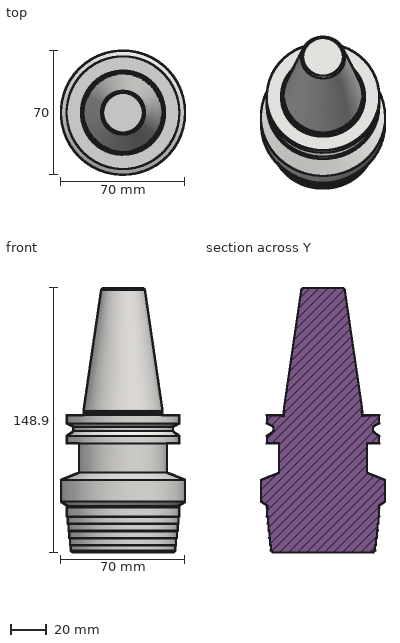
import cadquery as cq

height = 148.9
nut_chamfer = 1.2
nut_top_chamfer = 0.6
collar_bottom = 26.0
collar_edge_bottom = 28.6
collar_edge_top = 41.0
collar_top = 45.0
flange_bottom = 61.3
flange_height = 16.0
flange_top = flange_bottom + flange_height
gauge_height = 80.5
tip_chamfer = 1.2

nut_radius = 31.7
nut_end_radius = 29.5
collar_radius = 35.0
neck_radius = 24.9
flange_radius = 31.7
groove_radius = 28.1
gauge_radius = 22.2
tip_radius = 12.4

ring_count = 5
ring_pitch = 4.0
ring_shoulder_height = 0.5
ring_step = (nut_radius - nut_end_radius) / ring_count
first_ring_top = 20.4

upper_lip_height = 4.6
lower_lip_height = 4.3
groove_upper_flank = 2.0
groove_lower_flank = 2.7
groove_corner_chamfer = 0.9

relief_radius = 21.7
relief_bottom = 78.6
relief_top = 79.7
recess_radius = 23.7
recess_depth = 0.5


def nut_points():
    """Stepped outline of the nut, from the end face up to the collar."""
    points = [(0, 0), (nut_end_radius - nut_chamfer, 0), (nut_end_radius, nut_chamfer)]
    for index in range(ring_count):
        radius = nut_end_radius + index * ring_step
        ring_top = first_ring_top - (ring_count - 1 - index) * ring_pitch
        points += [(radius, ring_top - ring_shoulder_height), (radius + ring_step, ring_top)]
    points += [
        (nut_radius, collar_bottom - nut_top_chamfer),
        (nut_radius - nut_top_chamfer, collar_bottom),
    ]
    return points


def collar_points():
    """Chamfered collar and the cylindrical neck above it."""
    return [
        (collar_radius, collar_edge_bottom),
        (collar_radius, collar_edge_top),
        (neck_radius, collar_top),
        (neck_radius, flange_bottom),
    ]


def flange_points():
    """Gripper flange with its V-groove."""
    lower_lip_top = flange_bottom + lower_lip_height
    lower_flank_top = lower_lip_top + groove_lower_flank
    upper_lip_bottom = flange_top - upper_lip_height
    return [
        (flange_radius, flange_bottom),
        (flange_radius, lower_lip_top),
        (groove_radius + groove_corner_chamfer, lower_flank_top - groove_corner_chamfer),
        (groove_radius, lower_flank_top),
        (groove_radius, upper_lip_bottom - groove_upper_flank),
        (flange_radius, upper_lip_bottom),
        (flange_radius, flange_top),
    ]


def taper_points():
    """Recessed foot, relief groove and steep taper up to the chamfered tip."""
    return [
        (recess_radius, flange_top),
        (recess_radius - recess_depth, flange_top - recess_depth),
        (gauge_radius, flange_top - recess_depth),
        (gauge_radius, relief_bottom),
        (relief_radius, (relief_bottom + relief_top) / 2),
        (gauge_radius, relief_top),
        (gauge_radius, gauge_height),
        (tip_radius, height - tip_chamfer),
        (tip_radius - tip_chamfer, height),
        (0, height),
    ]


outline = nut_points() + collar_points() + flange_points() + taper_points()
result = cq.Workplane("XZ").polyline(outline).close().revolve(360, (0, 0, 0), (0, 1, 0))